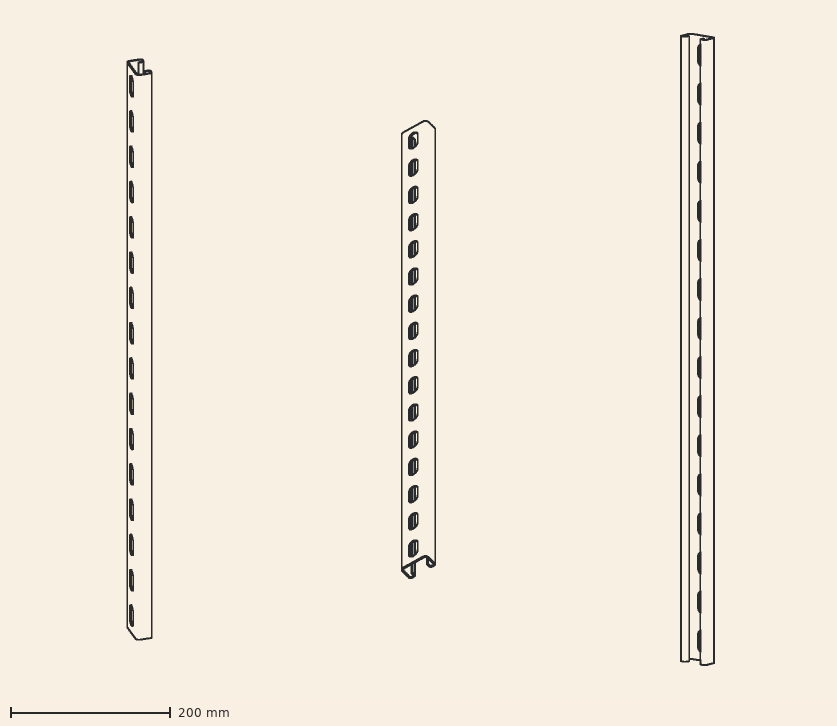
import cadquery as cq

width = 41.0
depth = 21.0
length = 800.0

thickness = 2.0
back_bend_radius = 5.0
lip_bend_radius = 2.8
mouth_width = 22.0
lip_depth = 7.0

slot_count = 16
slot_length = 28.0
slot_width = 14.0
slot_pitch = length / slot_count

back_y = -depth / 2
front_y = depth / 2
lip_end_y = front_y - lip_depth


def bar(x_min, x_max, y_min, y_max, back_radius, front_radius):
    """Full-length bar with rounded back and front edges; a zero radius stays sharp."""
    solid = (
        cq.Workplane("XY")
        .center((x_min + x_max) / 2, (y_min + y_max) / 2)
        .rect(x_max - x_min, y_max - y_min)
        .extrude(length)
    )
    if back_radius > 0:
        solid = solid.edges("|Z and <Y").fillet(back_radius)
    if front_radius > 0:
        solid = solid.edges("|Z and >Y").fillet(front_radius)
    return solid


def hook(side):
    """Front flange and lip on one side of the mouth: a U of sheet open toward the back."""
    lip_x = side * mouth_width / 2
    wall_x = side * width / 2
    x_min = min(lip_x, wall_x)
    x_max = max(lip_x, wall_x)
    outer = bar(x_min, x_max, lip_end_y, front_y, 0, lip_bend_radius)
    inner = bar(
        x_min + thickness,
        x_max - thickness,
        lip_end_y,
        front_y - thickness,
        0,
        lip_bend_radius - thickness,
    )
    return outer.cut(inner)


def trough():
    """Back and side walls, stopping where the hooks take over."""
    half = width / 2
    outer = bar(-half, half, back_y, lip_end_y, back_bend_radius, 0)
    inner = bar(
        -half + thickness,
        half - thickness,
        back_y + thickness,
        lip_end_y,
        back_bend_radius - thickness,
        0,
    )
    return outer.cut(inner)


def slot_cutters():
    """Round-ended cutters through the back, half a pitch in from each end."""
    centres = [(0, (index + 0.5) * slot_pitch) for index in range(slot_count)]
    return (
        cq.Workplane("XZ", origin=(0, back_y + back_bend_radius, 0))
        .pushPoints(centres)
        .slot2D(slot_length, slot_width, 90)
        .extrude(2 * back_bend_radius)
    )


channel = trough().union(hook(-1)).union(hook(1)).clean()
result = channel.cut(slot_cutters())